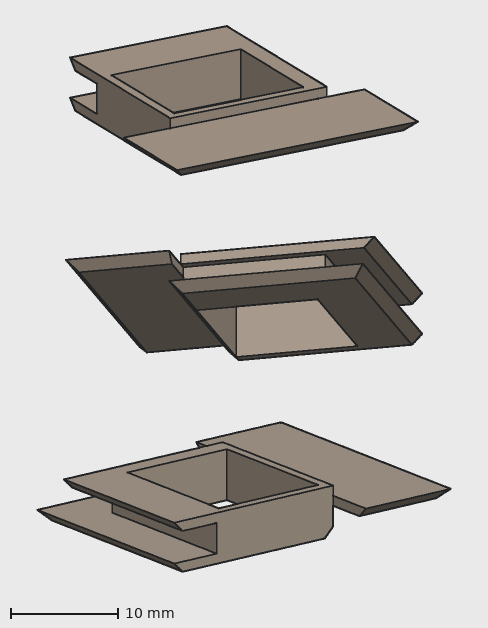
import cadquery as cq

length_x = 28.7
length_y = 25.9
height = 5.0
sheet = height / 5

frame_right = 18.7
frame_front = 5.0
frame_top_back = 21.85
core_left = 5.0
core_back = 20.9

window_left = 6.0
window_right = frame_right - sheet
window_front = frame_front + sheet
window_back = core_back - sheet

tab_top = height - sheet
tab_bottom = tab_top - sheet


def box(x0, x1, y0, y1, z0, z1):
    """Box between two opposite corners."""
    return cq.Workplane("XY").box(x1 - x0, y1 - y0, z1 - z0, centered=False).translate((x0, y0, z0))


def bevelled_plate(x0, x1, y0, y1, bottom, bevels):
    """Plate one sheet thick; its bottom is drawn in by one sheet on each side named in bevels."""
    bottom_x0 = x0 + sheet * ("left" in bevels)
    bottom_x1 = x1 - sheet * ("right" in bevels)
    bottom_y0 = y0 + sheet * ("front" in bevels)
    bottom_y1 = y1 - sheet * ("back" in bevels)
    return (
        cq.Workplane("XY", origin=(0, 0, bottom))
        .moveTo((bottom_x0 + bottom_x1) / 2, (bottom_y0 + bottom_y1) / 2)
        .rect(bottom_x1 - bottom_x0, bottom_y1 - bottom_y0)
        .workplane(offset=sheet, origin=(0, 0, bottom))
        .moveTo((x0 + x1) / 2, (y0 + y1) / 2)
        .rect(x1 - x0, y1 - y0)
        .loft(ruled=True)
    )


lower_lip = bevelled_plate(
    0, frame_right, frame_front, length_y, 0, ("left", "right", "back")
)

core = box(core_left, frame_right, frame_front, core_back, sheet, tab_top)

upper_lip = bevelled_plate(0, frame_right, frame_front, frame_top_back, tab_top, ("left",))

tab = bevelled_plate(
    frame_right, length_x, 0, length_y, tab_bottom, ("right", "front", "back")
)

window = box(window_left, window_right, window_front, window_back, 0, height)

result = lower_lip.union(core).union(upper_lip).union(tab).cut(window)